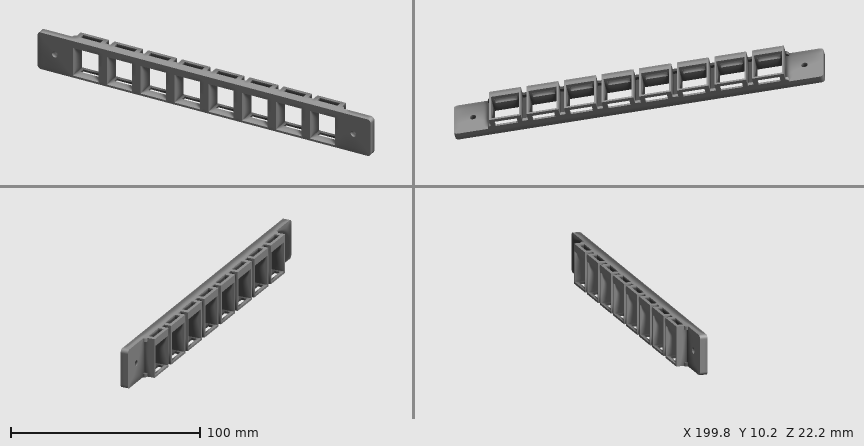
import cadquery as cq
import math

plate_length = 199.8
plate_height = 22.2
plate_thickness = 4.2
corner_radius = 2.0

screw_hole_diameter = 3.4
screw_hole_spacing = 179.0

socket_count = 8
first_to_last_socket = 142.0
socket_pitch = first_to_last_socket / (socket_count - 1)
total_depth = 10.2
window_width = 15.2
window_bottom = 1.2
window_top_margin = 4.2
window_height = plate_height - window_bottom - window_top_margin
socket_wall = 1.0
socket_width = window_width + 2 * socket_wall

slot_width = 12.0
slot_depth = 3.0
slot_back_wall = 1.8

rib_depth = 1.8
rib_height = 2.0
row_length = first_to_last_socket + socket_width
rib_length = row_length + 2 * rib_depth

socket_centers = [i * socket_pitch - first_to_last_socket / 2 for i in range(socket_count)]


def block(width, depth, height, x_center, y_front, z_bottom):
    """Box centred on x_center, reaching back from y_front and up from z_bottom."""
    corner = (x_center - width / 2, y_front, z_bottom)
    return cq.Workplane("XY").box(width, depth, height, centered=False).translate(corner)


def face_plate():
    plate = block(plate_length, plate_thickness, plate_height, 0, 0, 0)
    return plate.edges("|Y").fillet(corner_radius)


def rib(z_bottom):
    """Strip behind the plate whose ends are quarter rounds, bulging outward."""
    half_flat = row_length / 2
    half_length = rib_length / 2
    arc_mid = rib_depth * math.cos(math.radians(45))
    back = plate_thickness + rib_depth
    return (
        cq.Workplane("XY", origin=(0, 0, z_bottom))
        .moveTo(-half_length, plate_thickness)
        .threePointArc((-half_flat - arc_mid, plate_thickness + arc_mid), (-half_flat, back))
        .lineTo(half_flat, back)
        .threePointArc((half_flat + arc_mid, plate_thickness + arc_mid), (half_length, plate_thickness))
        .close()
        .extrude(rib_height)
    )


def socket_body(x):
    return block(socket_width, total_depth - plate_thickness, plate_height, x, plate_thickness, 0)


def socket_window(x):
    return block(window_width, total_depth, window_height, x, 0, window_bottom)


def latch_slot(x):
    slot_front = total_depth - slot_back_wall - slot_depth
    return block(slot_width, slot_depth, plate_height, x, slot_front, 0)


def screw_holes():
    half_spacing = screw_hole_spacing / 2
    return (
        cq.Workplane("XZ", origin=(0, 0, plate_height / 2))
        .pushPoints([(-half_spacing, 0), (half_spacing, 0)])
        .circle(screw_hole_diameter / 2)
        .extrude(-plate_thickness)
    )


result = face_plate().union(rib(0)).union(rib(plate_height - rib_height))
for socket_x in socket_centers:
    result = result.union(socket_body(socket_x))
for socket_x in socket_centers:
    result = result.cut(socket_window(socket_x)).cut(latch_slot(socket_x))
result = result.cut(screw_holes())